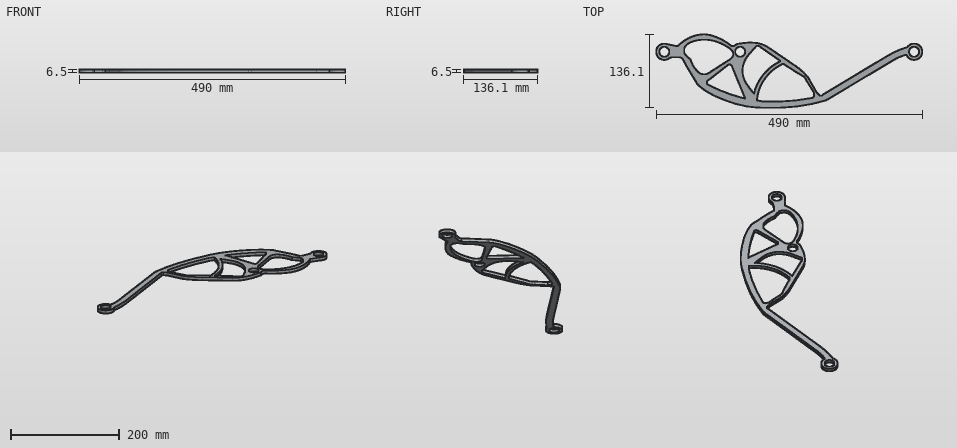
import cadquery as cq

length = 490.0
thickness = 6.5
eye_diameter = 30.5
hole_diameter = 18.0
eye_spacing = length - eye_diameter
middle_hole_x = 139.5
hole_centres = [(0, 0), (middle_hole_x, 0), (eye_spacing, 0)]
eye_centres = [hole_centres[0], hole_centres[-1]]


def discs(centres, diameter):
    """Round discs of full plate thickness."""
    return cq.Workplane("XY").pushPoints(centres).circle(diameter / 2).extrude(thickness)


def frame():
    """Solid outline: hump, shoulder, straight arm and curved belly, run clockwise."""
    arm_end_top = (eye_spacing - 12.2, 9.0)
    arm_end_bottom = (eye_spacing - 15.0, -6.0)
    return (
        cq.Workplane("XY")
        .moveTo(0, 14.5)
        .lineTo(5.0, 14.0)
        .lineTo(24.5, 10.5)
        .spline([(36.7, 20.5), (58.5, 30.5), (74.5, 32.5), (95.0, 27.5), (108.0, 21.5), (122.5, 12.0)],
                includeCurrent=True)
        .threePointArc((126.0, 11.0), (130.0, 12.0))
        .lineTo(134.0, 14.5)
        .spline([(156.5, 17.0), (173.5, 15.5), (191.0, 8.5)], includeCurrent=True)
        .lineTo(237.0, -23.0)
        .spline([(253.0, -35.0), (264.5, -47.0)], includeCurrent=True)
        .lineTo(280.2, -74.5)
        .lineTo(286.0, -80.5)
        .threePointArc((288.0, -81.0), (291.5, -79.0))
        .lineTo(410.5, -7.5)
        .threePointArc((423.5, -0.5), arm_end_top)
        .lineTo(eye_spacing, 0)
        .lineTo(*arm_end_bottom)
        .threePointArc((434.0, -9.5), (421.5, -15.5))
        .lineTo(302.0, -87.0)
        .lineTo(296.0, -90.0)
        .spline([(246.5, -100.5), (188.5, -103.5), (153.0, -101.0), (111.0, -89.0), (90.5, -80.5), (63.0, -62.0)],
                includeCurrent=True)
        .threePointArc((60.5, -59.0), (58.5, -55.5))
        .lineTo(40.5, -26.5)
        .lineTo(33.5, -12.5)
        .threePointArc((31.0, -11.5), (27.5, -10.5))
        .lineTo(13.0, -10.5)
        .lineTo(5.5, -13.5)
        .lineTo(0, -14.5)
        .close()
        .extrude(thickness)
    )


def left_opening():
    """Large rounded opening under the hump."""
    return (
        cq.Workplane("XY")
        .moveTo(36.7, -2.5)
        .lineTo(36.7, 6.0)
        .spline([(40.5, 12.2), (51.0, 18.0), (73.0, 22.0), (93.5, 19.0), (108.5, 13.0), (121.5, 5.5)],
                includeCurrent=True)
        .spline([(127.0, -4.5), (117.0, -16.0)], includeCurrent=True)
        .lineTo(81.5, -39.0)
        .threePointArc((71.5, -41.0), (63.0, -37.5))
        .threePointArc((55.5, -29.0), (48.5, -14.0))
        .lineTo(42.0, -9.0)
        .close()
        .extrude(thickness)
    )


def triangular_opening():
    """Triangle with two blunt corners and a curved lower side."""
    return (
        cq.Workplane("XY")
        .moveTo(117.0, -24.5)
        .threePointArc((120.5, -23.5), (124.0, -26.0))
        .lineTo(148.5, -85.5)
        .lineTo(142.0, -84.5)
        .threePointArc((107.0, -72.5), (80.5, -60.5))
        .threePointArc((78.5, -57.0), (81.5, -52.5))
        .close()
        .extrude(thickness)
    )


def crescent_opening():
    """Opening between the middle web and the curved strut."""
    return (
        cq.Workplane("XY")
        .moveTo(176.5, 9.0)
        .threePointArc((172.5, 11.0), (167.5, 8.5))
        .lineTo(156.5, -4.5)
        .spline([(146.5, -21.0), (144.0, -34.5), (147.5, -51.5), (155.5, -64.5), (165.0, -77.0)],
                includeCurrent=True)
        .lineTo(166.5, -70.0)
        .threePointArc((181.0, -43.5), (213.5, -17.0))
        .close()
        .extrude(thickness)
    )


def right_opening():
    """Opening between the curved strut, the shoulder and the belly."""
    return (
        cq.Workplane("XY")
        .moveTo(170.5, -89.0)
        .threePointArc((181.0, -56.5), (215.0, -24.0))
        .threePointArc((218.0, -22.5), (221.5, -24.0))
        .lineTo(244.5, -38.5)
        .lineTo(256.0, -45.5)
        .threePointArc((259.5, -49.5), (262.0, -54.5))
        .lineTo(275.0, -74.5)
        .lineTo(275.5, -81.0)
        .threePointArc((274.5, -83.5), (272.0, -85.0))
        .threePointArc((227.0, -90.5), (181.0, -91.0))
        .close()
        .extrude(thickness)
    )


result = frame().union(discs(eye_centres, eye_diameter))
for opening in (left_opening(), triangular_opening(), crescent_opening(), right_opening()):
    result = result.cut(opening)
result = result.cut(discs(hole_centres, hole_diameter))